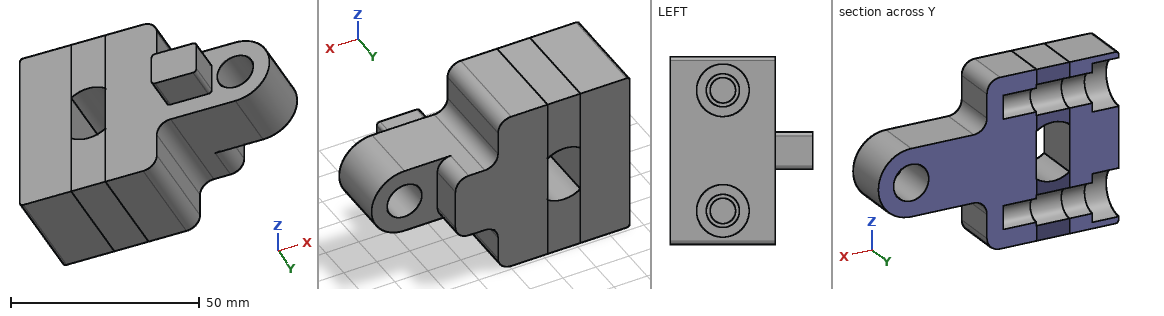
import cadquery as cq

total_length = 72.85
height = 50.0
depth = 28.0

block_length = 15.0
spacer_length = 10.0
plate_length = 15.0
block_edge_radius = 1.0
corner_radius = 4.0

arm_height = 19.95
arm_depth = 18.0
pivot_diameter = 10.5
shoulder_end = 52.9

key_start = 42.9
key_length = 13.1
key_height = 10.0
key_projection = 9.9
key_edge_radius = 1.0

bore_diameter = 17.0

screw_spacing = 32.05
head_diameter = 14.0
head_depth = 8.0
clearance_diameter = 8.8
thread_diameter = 6.8
thread_depth = 10.0

spacer_start = block_length
plate_start = spacer_start + spacer_length
plate_end = plate_start + plate_length
pivot_x = total_length - arm_height / 2
bore_x = spacer_start + spacer_length / 2
screw_y = depth / 2


def box(start_x, length, start_y, width, tall):
    """Box centred on Z = 0, starting at the given X and Y."""
    return cq.Workplane("XY").box(length, width, tall, centered=(False, False, True)).translate(
        (start_x, start_y, 0)
    )


def cylinder_y(x, diameter, length):
    """Cylinder along +Y that starts on the front face, Y = 0."""
    return cq.Workplane("XZ", origin=(x, 0, 0)).circle(diameter / 2).extrude(-length)


def screw_holes(start_x, diameter, length):
    """Pair of cylinders along +X at the two screw positions."""
    return (
        cq.Workplane("YZ", origin=(start_x, screw_y, 0))
        .pushPoints([(0, screw_spacing / 2), (0, -screw_spacing / 2)])
        .circle(diameter / 2)
        .extrude(length)
    )


def make_block():
    """End block with counterbored screw holes."""
    block = box(0, block_length, 0, depth, height).edges("|Y and <X").fillet(block_edge_radius)
    block = block.cut(screw_holes(0, head_diameter, head_depth))
    return block.cut(screw_holes(0, clearance_diameter, block_length))


def make_spacer(side):
    """Spacer above (side = 1) or below (side = -1) the cross bore."""
    half_height = height / 2
    spacer = box(spacer_start, spacer_length, 0, depth, half_height)
    spacer = spacer.translate((0, 0, side * half_height / 2))
    spacer = spacer.cut(cylinder_y(bore_x, bore_diameter, depth))
    return spacer.cut(screw_holes(spacer_start, clearance_diameter, spacer_length))


def make_lug():
    """Plate with a shouldered pivot arm and a key on the arm's front face."""
    plate = box(plate_start, plate_length, 0, depth, height)
    shoulder = box(plate_start, shoulder_end - plate_start, 0, depth, arm_height)
    lug = plate.union(shoulder)

    lug = lug.edges("|Y").edges(">X").fillet(corner_radius)
    plate_corners = cq.selectors.BoxSelector(
        (plate_end - corner_radius, -depth, -height), (plate_end + corner_radius, 2 * depth, height)
    )
    lug = lug.edges("|Y").edges(plate_corners).fillet(corner_radius)

    arm = box(plate_start, pivot_x - plate_start, 0, arm_depth, arm_height)
    lug = lug.union(arm).union(cylinder_y(pivot_x, arm_height, arm_depth))
    lug = lug.cut(cylinder_y(pivot_x, pivot_diameter, arm_depth))

    key = box(key_start, key_length, -key_projection, key_projection, key_height)
    lug = lug.union(key.edges("|Y").fillet(key_edge_radius))
    return lug.cut(screw_holes(plate_start, thread_diameter, thread_depth))


block = make_block()
spacers = [make_spacer(side) for side in (1, -1)]
lug = make_lug()

result = cq.Compound.makeCompound([block.val(), *[spacer.val() for spacer in spacers], lug.val()])